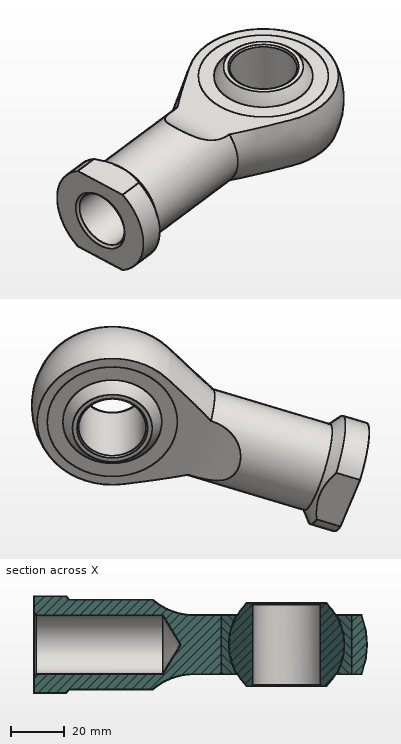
import cadquery as cq
import math

OVERALL_LENGTH = 123.9
EYE_RADIUS = 30.0
EYE_THICKNESS = 22.0

LINER_RADIUS = 24.2

BALL_RADIUS = 21.5
BALL_WIDTH = 31.0
BALL_BORE_RADIUS = 12.5
BALL_BORE_CHAMFER = 0.6

SHANK_RADIUS = 16.7
SHANK_START_Y = -34.5
SCALLOP_RADIUS = 23.4

COLLAR_RADIUS = 21.1
COLLAR_LENGTH = 13.1
COLLAR_CHAMFER_LENGTH = 3.7
COLLAR_ACROSS_FLATS = 36.0

THREAD_BORE_RADIUS = 10.9
THREAD_MOUTH_RADIUS = 11.9
THREAD_MOUTH_DEPTH = 1.0
THREAD_BORE_DEPTH = 48.0
DRILL_POINT_ANGLE = 118.0

END_Y = EYE_RADIUS - OVERALL_LENGTH
HALF_EYE = EYE_THICKNESS / 2
HALF_BALL = BALL_WIDTH / 2
ORIGIN = (0, 0, 0)
Y_AXIS = (0, 1, 0)


def revolve_about_y(profile):
    return profile.close().revolve(360, ORIGIN, Y_AXIS)


def make_blank():
    """Spherical head, tangent cone, shank and chamfered collar, turned about Y."""
    point_angle = math.atan2(SHANK_RADIUS, -SHANK_START_Y)
    point_distance = math.hypot(SHANK_RADIUS, SHANK_START_Y)
    tangent_angle = point_angle + math.acos(EYE_RADIUS / point_distance)
    tangent_point = (EYE_RADIUS * math.sin(tangent_angle), -EYE_RADIUS * math.cos(tangent_angle))

    collar_start_y = END_Y + COLLAR_LENGTH
    profile = (
        cq.Workplane("XY")
        .moveTo(0, EYE_RADIUS)
        .threePointArc((EYE_RADIUS, 0), tangent_point)
        .lineTo(SHANK_RADIUS, SHANK_START_Y)
        .lineTo(SHANK_RADIUS, collar_start_y)
        .lineTo(COLLAR_RADIUS, collar_start_y - COLLAR_CHAMFER_LENGTH)
        .lineTo(COLLAR_RADIUS, END_Y)
        .lineTo(0, END_Y)
    )
    return revolve_about_y(profile)


def make_eye_face_cutter():
    """Material above the upper eye face, with the scallop that runs out on the shank."""
    clear = 2 * EYE_RADIUS
    arc_center_z = HALF_EYE + SCALLOP_RADIUS
    arc_offset = SCALLOP_RADIUS * math.sqrt(0.5)
    return (
        cq.Workplane("YZ")
        .moveTo(clear, HALF_EYE)
        .lineTo(SHANK_START_Y, HALF_EYE)
        .threePointArc(
            (SHANK_START_Y - arc_offset, arc_center_z - arc_offset),
            (SHANK_START_Y - SCALLOP_RADIUS, arc_center_z),
        )
        .lineTo(clear, arc_center_z)
        .close()
        .extrude(clear, both=True)
    )


def make_thread_bore():
    """Blind bore with a chamfered mouth and a drill-point bottom."""
    bore_end_y = END_Y + THREAD_BORE_DEPTH
    point_length = THREAD_BORE_RADIUS / math.tan(math.radians(DRILL_POINT_ANGLE / 2))
    profile = (
        cq.Workplane("XY")
        .moveTo(0, END_Y)
        .lineTo(THREAD_MOUTH_RADIUS, END_Y)
        .lineTo(THREAD_BORE_RADIUS, END_Y + THREAD_MOUTH_DEPTH)
        .lineTo(THREAD_BORE_RADIUS, bore_end_y)
        .lineTo(0, bore_end_y + point_length)
    )
    return revolve_about_y(profile)


def make_housing():
    eye_face_cutter = make_eye_face_cutter()
    wrench_flats = cq.Workplane("XY").box(2 * OVERALL_LENGTH, 2 * OVERALL_LENGTH, COLLAR_ACROSS_FLATS)
    liner_seat = cq.Workplane("XY").circle(LINER_RADIUS).extrude(HALF_EYE, both=True)
    return (
        make_blank()
        .intersect(wrench_flats)
        .cut(eye_face_cutter)
        .cut(eye_face_cutter.mirror("XY"))
        .cut(liner_seat)
        .cut(make_thread_bore())
    )


def make_liner():
    """Ring in the eye with a spherical seat for the ball."""
    ring = cq.Workplane("XY").circle(LINER_RADIUS).extrude(HALF_EYE, both=True)
    return ring.cut(cq.Workplane("XY").sphere(BALL_RADIUS))


def make_ball():
    """Truncated sphere with a through bore chamfered at both ends."""
    face_radius = math.sqrt(BALL_RADIUS**2 - HALF_BALL**2)
    mouth_radius = BALL_BORE_RADIUS + BALL_BORE_CHAMFER
    chamfer_z = HALF_BALL - BALL_BORE_CHAMFER
    return (
        cq.Workplane("XZ")
        .moveTo(BALL_BORE_RADIUS, -chamfer_z)
        .lineTo(mouth_radius, -HALF_BALL)
        .lineTo(face_radius, -HALF_BALL)
        .threePointArc((BALL_RADIUS, 0), (face_radius, HALF_BALL))
        .lineTo(mouth_radius, HALF_BALL)
        .lineTo(BALL_BORE_RADIUS, chamfer_z)
        .close()
        .revolve(360, ORIGIN, Y_AXIS)
    )


housing = make_housing()
liner = make_liner()
ball = make_ball()

result = cq.Compound.makeCompound([housing.val(), liner.val(), ball.val()])